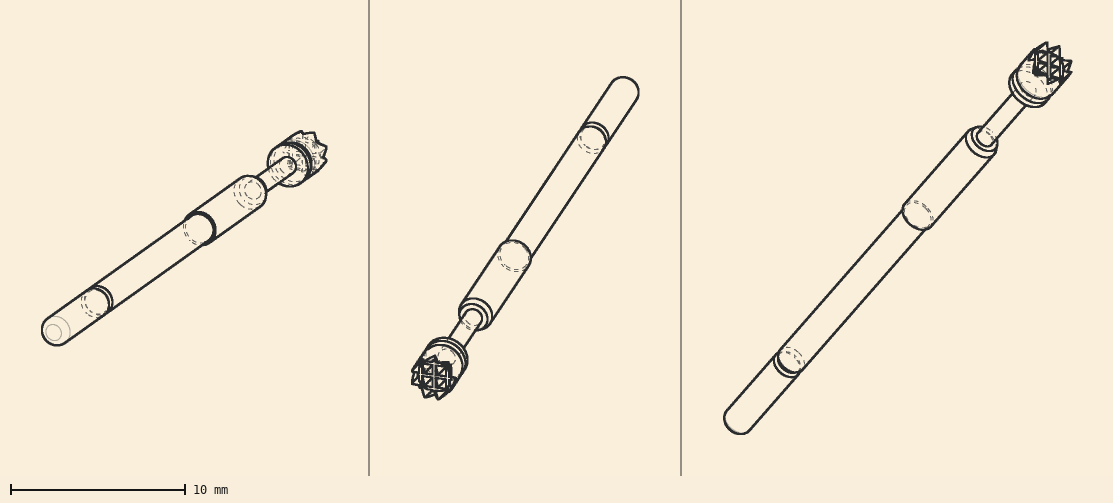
import cadquery as cq
import math


head_radius = 2.5 / 2
plunger_radius = 1.05 / 2
collar_radius = 2.0 / 2
tube_radius = 1.72 / 2

total_length = 38.3
head_length = 3.03
plunger_length = 5.25
collar_length = 8.05

head_back = total_length - head_length
collar_front = head_back - plunger_length
collar_back = collar_front - collar_length

collar_taper_length = 0.42
collar_taper_depth = 0.15

end_round = 0.4

head_groove_front = total_length - 2.0
head_groove_bottom = total_length - 2.25
head_groove_back = total_length - 2.6
head_groove_depth = 0.08
head_groove_bow = 0.02

tube_groove_center = 6.5
tube_groove_width = 0.5
tube_groove_depth = 0.135

tooth_pitch = 0.8
tooth_angle = 60.0
tooth_depth = tooth_pitch / 2 / math.tan(math.radians(tooth_angle / 2))
grooves_each_way = 3

core_radius = 1.0
core_recess = 0.55


def revolve_about_axis(profile):
    """Turn a closed half profile (radius along X) around the Y axis."""
    return profile.close().revolve(360, (0, 0, 0), (0, 1, 0))


def make_body():
    """Stepped round body with a tapered collar and a rounded rear end."""
    profile = cq.Workplane("XY").polyline(
        [
            (0, 0),
            (tube_radius, 0),
            (tube_radius, collar_back),
            (collar_radius, collar_back),
            (collar_radius, collar_front - collar_taper_length),
            (collar_radius - collar_taper_depth, collar_front),
            (plunger_radius, collar_front),
            (plunger_radius, head_back),
            (head_radius, head_back),
            (head_radius, total_length),
            (0, total_length),
        ]
    )
    return revolve_about_axis(profile).faces("<Y").edges().fillet(end_round)


def make_head_groove():
    """Ring cutter with an arc for the rear flank and a cone for the front flank."""
    arc_middle = (
        head_radius - head_groove_depth / 2 - head_groove_bow,
        (head_groove_back + head_groove_bottom) / 2,
    )
    profile = (
        cq.Workplane("XY")
        .moveTo(head_radius, head_groove_back)
        .threePointArc(arc_middle, (head_radius - head_groove_depth, head_groove_bottom))
        .lineTo(head_radius, head_groove_front)
    )
    return revolve_about_axis(profile)


def make_tube_groove():
    """Ring cutter with a symmetrical V section."""
    profile = cq.Workplane("XY").polyline(
        [
            (tube_radius, tube_groove_center - tube_groove_width / 2),
            (tube_radius - tube_groove_depth, tube_groove_center),
            (tube_radius, tube_groove_center + tube_groove_width / 2),
        ]
    )
    return revolve_about_axis(profile)


def make_tooth_grooves():
    """Parallel V-shaped cutters across the tip, running along Z and spaced along X."""
    valley = total_length - tooth_depth
    half_pitch = tooth_pitch / 2
    grooves = cq.Workplane("XY")
    for index in range(grooves_each_way):
        x = (index - (grooves_each_way - 1) / 2) * tooth_pitch
        groove = (
            cq.Workplane("XY")
            .polyline([(x - half_pitch, total_length), (x, valley), (x + half_pitch, total_length)])
            .close()
            .extrude(head_radius, both=True)
        )
        grooves = grooves.add(groove)
    return grooves.combine()


def make_tip_core():
    """Disc standing between the teeth, reaching back into the solid part of the head."""
    core_top = total_length - core_recess
    return cq.Workplane("XZ", origin=(0, core_top, 0)).circle(core_radius).extrude(tooth_depth)


tooth_grooves = make_tooth_grooves()
crossing_grooves = tooth_grooves.rotate((0, 0, 0), (0, 1, 0), 90)

body = make_body().cut(make_head_groove()).cut(make_tube_groove())
result = body.cut(tooth_grooves).cut(crossing_grooves).union(make_tip_core())